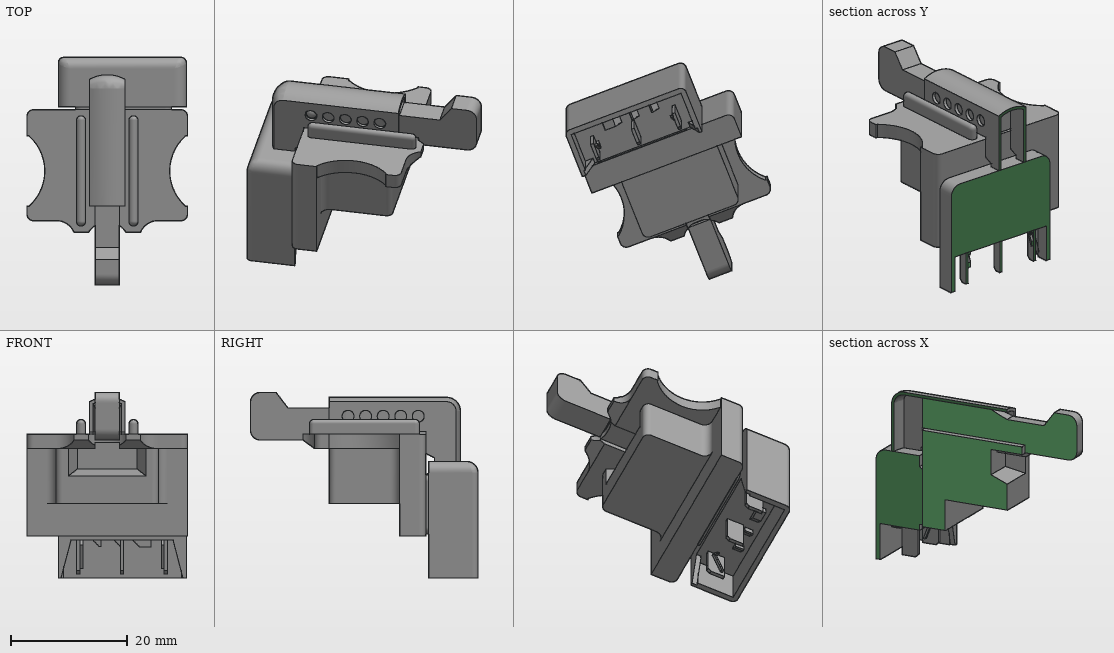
import cadquery as cq
import math


HOUSING_WIDTH = 27.5
HOUSING_HEIGHT = 17.47
BACK_PLATE_DEPTH = 4.5
OUTER_CORNER_RADIUS = 1.15
PLATE_THICKNESS = 2.5
PLATE_DEPTH = 19.05
TAB_DEPTH = 21.02
TAB_OUTER_X = 5.7
TAB_INNER_X = 3.2
NOTCH_FLAT_HALF = 0.43
TAB_ROUND_RADIUS = 3.15
TAB_EDGE_HEIGHT = 1.05
SCALLOP_STEP = 0.3
SCALLOP_SAG = 2.73
BLOCK_WIDTH = 17.55
BLOCK_DEPTH = 16.55
BLOCK_BOTTOM = -11.95
BLOCK_CORNER_RADIUS = 1.1
BLOCK_ROOT_RADIUS = 1.5
POCKET_MOUTH_HALF = 6.63
POCKET_FLOOR_HALF = 5.1
POCKET_MOUTH_BOTTOM = -7.18
POCKET_FLOOR_BOTTOM = -5.95
POCKET_DEPTH = 3.12
CHANNEL_TOP = -1.5
BAR_X = 4.5
BAR_RADIUS = 0.78
BAR_TOP = 2.5
BAR_BACK_Y = -1.05
BAR_FRONT_Y = -19.93

BOX_LEFT = -8.4
BOX_RIGHT = 13.57
BOX_FRONT_Y = 0.45
BOX_BACK_Y = 8.97
BOX_TOP = -4.68
BOX_BOTTOM = -24.65
BOX_TOP_RADIUS = 2.0
BOX_SIDE_RADIUS = 0.98
BOX_WALL = 0.9
BOSS_LEFT = -5.45
BOSS_RIGHT = 11.0
BOSS_TOP = -7.02
BOSS_BOTTOM = -17.12
BOSS_CORNER_RADIUS = 1.1
BOSS_RAMP_HEIGHT = 0.35
BOSS_RAMP_WIDTH = 4.68
WINDOW_TOP = -18.17
WINDOW_TOP_LEFT = -6.2
WINDOW_TOP_RIGHT = 11.27
WINDOW_BOTTOM_LEFT = -7.9
WINDOW_BOTTOM_RIGHT = 12.95
NARROW_LUG_BOTTOM = -19.23
WIDE_LUG_BOTTOM = -19.35
LUG_BACK_Y = 7.02
LUG_DEPTH = 1.55
NARROW_LUG_WIDTH = 1.35
WIDE_LUG_WIDTH = 3.1
NARROW_LUG_XS = (-2.45, 1.17)
WIDE_LUG_X = 4.35

BLADE_MIDDLE_X = 2.55
BLADE_PITCH = 7.5
BLADE_THICKNESS = 0.55
BLADE_FRONT_Y = 1.95
BLADE_DEPTH = 3.12
BLADE_BOTTOM = -23.95
BLADE_TIP = 0.55
CLIP_WIDTH = 0.5
CLIP_KNEE_Z = -19.0
CLIP_BOTTOM = -23
CLIP_FRONT_Y = 2.73
CLIP_KNEE_SETBACK = 0.78
CLIP_TIP_SETBACK = 1.55
CLIP_THICKNESS = 0.4

SLEEVE_HALF_WIDTH = 3.05
SLEEVE_FRONT_Y = -BLOCK_DEPTH
SLEEVE_BOTTOM = 0.35
SLEEVE_SIDE_TOP = 5.55
SLEEVE_SIDE_BACK_Y = 5.2
SLEEVE_CROWN = 0.78
SLEEVE_BEND_RADIUS = 1.65
SLEEVE_WALL = 0.6
LEG_FRONT_Y = 1.5
LEG_STEP_TOP = -3.35
LEG_STEP_BOTTOM = -4.1
HOLE_COUNT = 5
HOLE_PITCH = 3.0
HOLE_FIRST_Y = -1.3
HOLE_Z = 3.05
HOLE_RADIUS = 1.0

SLIDER_HALF_WIDTH = 2.05
SHANK_TOP = 4.5
GRIP_TOP = 7.15
GRIP_FRONT_Y = -30.03
GRIP_CORNER_RADIUS = 1.75
GRIP_SLOPE_BOTTOM_Y = -23.6
GRIP_SLOPE_TOP_Y = -25.62
SHANK_STEP_Y = -19.9
SLIDER_BACK_Y = 0
FLARE_FRONT_Y = SLEEVE_FRONT_Y
FLARE_BACK_Y = -13.6


def box_between(x0, x1, y0, y1, z0, z1):
    size = (x1 - x0, y1 - y0, z1 - z0)
    return cq.Workplane("XY").box(*size, centered=False).translate((x0, y0, z0))


def prism_along_x(points_yz, x_start, length):
    """Straight prism along X with a polygonal YZ section."""
    return cq.Workplane("YZ").workplane(offset=x_start).polyline(points_yz).close().extrude(length)


def prism_along_y(points_xz, y_back, depth):
    """Straight prism running from y_back towards -Y with a polygonal XZ section."""
    return cq.Workplane("XZ").workplane(offset=-y_back).polyline(points_xz).close().extrude(depth)


def make_finger_plate():
    """Top plate with a scalloped finger grip on each side and two front tabs beside the slider notch."""
    half_width = HOUSING_WIDTH / 2
    scallop_x = half_width - SCALLOP_STEP
    scallop_back_y = -BACK_PLATE_DEPTH
    scallop_front_y = -BLOCK_DEPTH
    scallop_middle_y = (scallop_back_y + scallop_front_y) / 2
    round_drop = TAB_DEPTH - PLATE_DEPTH
    tab_round_x = TAB_OUTER_X + math.sqrt(round_drop * (2 * TAB_ROUND_RADIUS - round_drop))
    notch_run = TAB_INNER_X - NOTCH_FLAT_HALF
    notch_drop = TAB_ROUND_RADIUS - math.sqrt(TAB_ROUND_RADIUS ** 2 - notch_run ** 2)
    notch_y = -TAB_DEPTH + notch_drop
    plate = (
        cq.Workplane("XY")
        .moveTo(0, 0)
        .lineTo(half_width, 0)
        .lineTo(half_width, scallop_back_y)
        .lineTo(scallop_x, scallop_back_y)
        .threePointArc((scallop_x - SCALLOP_SAG, scallop_middle_y), (scallop_x, scallop_front_y))
        .lineTo(half_width, scallop_front_y)
        .lineTo(half_width, -PLATE_DEPTH)
        .lineTo(tab_round_x, -PLATE_DEPTH)
        .radiusArc((TAB_OUTER_X, -TAB_DEPTH), -TAB_ROUND_RADIUS)
        .lineTo(TAB_INNER_X, -TAB_DEPTH)
        .radiusArc((NOTCH_FLAT_HALF, notch_y), -TAB_ROUND_RADIUS)
        .lineTo(0, notch_y)
        .mirrorY()
        .extrude(-PLATE_THICKNESS)
    )
    for x in (-half_width, half_width):
        for y in (-PLATE_DEPTH, 0):
            corner = cq.selectors.NearestToPointSelector((x, y, -PLATE_THICKNESS / 2))
            plate = plate.edges(corner).fillet(OUTER_CORNER_RADIUS)
    lead_in = prism_along_x(
        [
            (-TAB_DEPTH, -TAB_EDGE_HEIGHT),
            (-PLATE_DEPTH, -PLATE_THICKNESS),
            (-TAB_DEPTH, -PLATE_THICKNESS),
        ],
        -half_width,
        HOUSING_WIDTH,
    )
    return plate.cut(lead_in)


def make_back_plate():
    half_width = HOUSING_WIDTH / 2
    plate = box_between(-half_width, half_width, -BACK_PLATE_DEPTH, 0, -HOUSING_HEIGHT, 0)
    return plate.edges("|Z and >Y").fillet(OUTER_CORNER_RADIUS)


def make_block():
    """Front block with rounded front corners and concave roots against the back plate."""
    half_width = BLOCK_WIDTH / 2
    block = box_between(-half_width, half_width, -BLOCK_DEPTH, -BACK_PLATE_DEPTH, BLOCK_BOTTOM, 0)
    block = block.edges("|Z and <Y").fillet(BLOCK_CORNER_RADIUS)
    for side in (-1, 1):
        root_x = side * half_width
        root = (
            cq.Workplane("XY")
            .workplane(offset=BLOCK_BOTTOM)
            .moveTo(root_x, -BACK_PLATE_DEPTH)
            .lineTo(root_x + side * BLOCK_ROOT_RADIUS, -BACK_PLATE_DEPTH)
            .radiusArc((root_x, -BACK_PLATE_DEPTH - BLOCK_ROOT_RADIUS), -side * BLOCK_ROOT_RADIUS)
            .close()
            .extrude(-BLOCK_BOTTOM)
        )
        block = block.union(root)
    return block


def make_pocket():
    """Tapered front pocket, with the channel that continues it up into the finger plate."""
    mouth = [
        (-POCKET_MOUTH_HALF, -PLATE_THICKNESS),
        (POCKET_MOUTH_HALF, -PLATE_THICKNESS),
        (POCKET_MOUTH_HALF, POCKET_MOUTH_BOTTOM),
        (-POCKET_MOUTH_HALF, POCKET_MOUTH_BOTTOM),
    ]
    floor = [
        (-POCKET_FLOOR_HALF, -PLATE_THICKNESS),
        (POCKET_FLOOR_HALF, -PLATE_THICKNESS),
        (POCKET_FLOOR_HALF, POCKET_FLOOR_BOTTOM),
        (-POCKET_FLOOR_HALF, POCKET_FLOOR_BOTTOM),
    ]
    floor_y = -BLOCK_DEPTH + POCKET_DEPTH
    taper = (
        cq.Workplane("XZ")
        .workplane(offset=BLOCK_DEPTH)
        .polyline(mouth)
        .close()
        .workplane(offset=-POCKET_DEPTH)
        .polyline(floor)
        .close()
        .loft(ruled=True)
    )
    channel = box_between(
        -SLIDER_HALF_WIDTH, SLIDER_HALF_WIDTH, -TAB_DEPTH, floor_y, -PLATE_THICKNESS, CHANNEL_TOP
    )
    return taper.union(channel)


def make_guide_bar(x):
    """Upright bar on the finger plate with rounded ends and a rounded top."""
    spring_z = BAR_TOP - BAR_RADIUS
    end_ys = (BAR_BACK_Y - BAR_RADIUS, BAR_FRONT_Y + BAR_RADIUS)
    span = end_ys[0] - end_ys[1]
    middle_y = sum(end_ys) / 2
    bar = (
        cq.Workplane("XY")
        .center(x, middle_y)
        .slot2D(span + 2 * BAR_RADIUS, 2 * BAR_RADIUS, 90)
        .extrude(spring_z)
    )
    top = (
        cq.Workplane("XZ")
        .workplane(offset=-end_ys[0])
        .center(x, spring_z)
        .circle(BAR_RADIUS)
        .extrude(span)
    )
    bar = bar.union(top)
    for end_y in end_ys:
        bar = bar.union(cq.Workplane("XY").sphere(BAR_RADIUS).translate((x, end_y, spring_z)))
    return bar


def make_housing():
    body = make_back_plate().union(make_block()).union(make_finger_plate())
    body = body.cut(make_pocket())
    for side in (-1, 1):
        body = body.union(make_guide_bar(side * BAR_X))
    return body


def make_lug(x, width, bottom):
    """Lug hanging from the box ceiling, with a 45 degree slope on its left side."""
    slope_height = WINDOW_TOP - bottom
    outline = [
        (x, WINDOW_TOP),
        (x + width, WINDOW_TOP),
        (x + width, bottom),
        (x + slope_height, bottom),
    ]
    return prism_along_y(outline, LUG_BACK_Y, LUG_DEPTH)


def make_socket_box():
    box = box_between(BOX_LEFT, BOX_RIGHT, BOX_FRONT_Y, BOX_BACK_Y, BOX_BOTTOM, BOX_TOP)
    box = box.edges("|Z and >Y").fillet(BOX_SIDE_RADIUS)
    box = box.faces(">Z").edges("not <Y").fillet(BOX_TOP_RADIUS)

    boss = box_between(BOSS_LEFT, BOSS_RIGHT, 0, BOX_FRONT_Y, BOSS_BOTTOM, BOSS_TOP)
    box = box.union(boss.edges("|Y").fillet(BOSS_CORNER_RADIUS))
    boss_ramp = prism_along_x(
        [(0, BOSS_TOP), (BOX_FRONT_Y, BOSS_TOP), (BOX_FRONT_Y, BOSS_TOP + BOSS_RAMP_HEIGHT)],
        -BOSS_RAMP_WIDTH / 2,
        BOSS_RAMP_WIDTH,
    )
    box = box.union(boss_ramp)

    cavity = box_between(
        BOX_LEFT + BOX_WALL,
        BOX_RIGHT - BOX_WALL,
        BOX_FRONT_Y + BOX_WALL,
        BOX_BACK_Y - BOX_WALL,
        BOX_BOTTOM,
        WINDOW_TOP,
    )
    window = prism_along_y(
        [
            (WINDOW_TOP_LEFT, WINDOW_TOP),
            (WINDOW_TOP_RIGHT, WINDOW_TOP),
            (WINDOW_BOTTOM_RIGHT, BOX_BOTTOM),
            (WINDOW_BOTTOM_LEFT, BOX_BOTTOM),
        ],
        BOX_FRONT_Y + BOX_WALL,
        BOX_WALL,
    )
    box = box.cut(cavity).cut(window)
    for x in NARROW_LUG_XS:
        box = box.union(make_lug(x, NARROW_LUG_WIDTH, NARROW_LUG_BOTTOM))
    return box.union(make_lug(WIDE_LUG_X, WIDE_LUG_WIDTH, WIDE_LUG_BOTTOM))


def make_blade(x):
    """Flat blade with a bevelled tip at its front bottom corner."""
    back_y = BLADE_FRONT_Y + BLADE_DEPTH
    outline = [
        (BLADE_FRONT_Y, WINDOW_TOP),
        (back_y, WINDOW_TOP),
        (back_y, BLADE_BOTTOM),
        (BLADE_FRONT_Y + BLADE_TIP, BLADE_BOTTOM),
        (BLADE_FRONT_Y, BLADE_BOTTOM + BLADE_TIP),
    ]
    return prism_along_x(outline, x - BLADE_THICKNESS / 2, BLADE_THICKNESS)


def make_clip(x_start):
    """Bent spring strip: leans forward to a knee and back again to its tip."""
    top_y = CLIP_FRONT_Y + CLIP_KNEE_SETBACK
    tip_y = CLIP_FRONT_Y + CLIP_TIP_SETBACK
    front = [(top_y, WINDOW_TOP), (CLIP_FRONT_Y, CLIP_KNEE_Z), (tip_y, CLIP_BOTTOM)]
    back = [(y + CLIP_THICKNESS, z) for y, z in reversed(front)]
    return prism_along_x(front + back, x_start, CLIP_WIDTH)


def crown_section(inset):
    """Half width, side top and crown rise of the sleeve section offset inwards by inset."""
    crown_radius = (SLEEVE_HALF_WIDTH ** 2 + SLEEVE_CROWN ** 2) / (2 * SLEEVE_CROWN)
    centre_z = SLEEVE_SIDE_TOP + SLEEVE_CROWN - crown_radius
    radius = crown_radius - inset
    half_width = SLEEVE_HALF_WIDTH - inset
    edge_height = math.sqrt(radius ** 2 - half_width ** 2)
    return half_width, centre_z + edge_height, radius - edge_height


def make_sleeve_form(inset):
    """Crowned bar that runs back over the housing and bends down to the box, shrunk by inset."""
    half_width, side_top, crown_rise = crown_section(inset)
    bend_y = SLEEVE_SIDE_BACK_Y - SLEEVE_BEND_RADIUS
    bend_z = SLEEVE_SIDE_TOP - SLEEVE_BEND_RADIUS
    bend_radius = side_top - bend_z
    side_back = bend_y + bend_radius
    bend_middle = bend_radius * math.sqrt(0.5)

    side = (
        cq.Workplane("YZ")
        .moveTo(SLEEVE_FRONT_Y, SLEEVE_BOTTOM)
        .lineTo(SLEEVE_FRONT_Y, side_top)
        .lineTo(bend_y, side_top)
        .threePointArc((bend_y + bend_middle, bend_z + bend_middle), (side_back, bend_z))
        .lineTo(side_back, BOX_TOP)
        .lineTo(LEG_FRONT_Y, BOX_TOP)
        .lineTo(LEG_FRONT_Y, LEG_STEP_BOTTOM)
        .lineTo(0, LEG_STEP_TOP)
        .lineTo(0, SLEEVE_BOTTOM)
        .close()
        .extrude(half_width, both=True)
    )
    path = (
        cq.Workplane("YZ")
        .moveTo(SLEEVE_FRONT_Y, side_top)
        .lineTo(bend_y, side_top)
        .threePointArc((bend_y + bend_middle, bend_z + bend_middle), (side_back, bend_z))
        .lineTo(side_back, BOX_TOP)
    )
    crown = (
        cq.Workplane("XZ", origin=(0, SLEEVE_FRONT_Y, 0))
        .moveTo(-half_width, side_top)
        .threePointArc((0, side_top + crown_rise), (half_width, side_top))
        .close()
        .sweep(path)
    )
    return side.union(crown)


def make_sleeve():
    sleeve = make_sleeve_form(0).cut(make_sleeve_form(SLEEVE_WALL))
    for index in range(HOLE_COUNT):
        hole = (
            cq.Workplane("YZ")
            .center(HOLE_FIRST_Y - index * HOLE_PITCH, HOLE_Z)
            .circle(HOLE_RADIUS)
            .extrude(SLEEVE_HALF_WIDTH, both=True)
        )
        sleeve = sleeve.cut(hole)
    return sleeve


def make_ball():
    """Detent ball that fills the rearmost left hole flush with the sleeve side."""
    centre = (-SLEEVE_HALF_WIDTH + HOLE_RADIUS, HOLE_FIRST_Y, HOLE_Z)
    return cq.Workplane("XY").sphere(HOLE_RADIUS).translate(centre)


def make_slider_grip():
    """Slim shank with the raised, rounded finger grip at its front end."""
    grip = (
        cq.Workplane("YZ")
        .moveTo(FLARE_BACK_Y, SLEEVE_BOTTOM)
        .lineTo(FLARE_BACK_Y, SHANK_TOP)
        .lineTo(GRIP_SLOPE_BOTTOM_Y, SHANK_TOP)
        .lineTo(GRIP_SLOPE_TOP_Y, GRIP_TOP)
        .lineTo(GRIP_FRONT_Y, GRIP_TOP)
        .lineTo(GRIP_FRONT_Y, -TAB_EDGE_HEIGHT)
        .lineTo(SHANK_STEP_Y, -TAB_EDGE_HEIGHT)
        .lineTo(SHANK_STEP_Y, SLEEVE_BOTTOM)
        .close()
        .extrude(SLIDER_HALF_WIDTH, both=True)
    )
    return grip.edges("|X and <Y").fillet(GRIP_CORNER_RADIUS)


def make_slider_flare():
    """Transition from the slim shank to the full inner section of the sleeve."""
    inner_half, inner_top, inner_rise = crown_section(SLEEVE_WALL)
    return (
        cq.Workplane("XZ")
        .workplane(offset=-FLARE_FRONT_Y)
        .moveTo(-SLIDER_HALF_WIDTH, SLEEVE_BOTTOM)
        .lineTo(SLIDER_HALF_WIDTH, SLEEVE_BOTTOM)
        .lineTo(SLIDER_HALF_WIDTH, SHANK_TOP)
        .lineTo(-SLIDER_HALF_WIDTH, SHANK_TOP)
        .close()
        .workplane(offset=FLARE_FRONT_Y - FLARE_BACK_Y)
        .moveTo(-inner_half, SLEEVE_BOTTOM)
        .lineTo(inner_half, SLEEVE_BOTTOM)
        .lineTo(inner_half, inner_top)
        .threePointArc((0, inner_top + inner_rise), (-inner_half, inner_top))
        .close()
        .loft(ruled=True)
    )


def make_slider():
    reach = box_between(
        -SLEEVE_HALF_WIDTH, SLEEVE_HALF_WIDTH, FLARE_BACK_Y, SLIDER_BACK_Y, SLEEVE_BOTTOM, GRIP_TOP
    )
    head = make_sleeve_form(SLEEVE_WALL).intersect(reach)
    return head.union(make_slider_flare()).union(make_slider_grip()).cut(make_ball())


housing = make_housing()
socket_box = make_socket_box()
sleeve = make_sleeve()
slider = make_slider()
ball = make_ball()

blade_xs = [BLADE_MIDDLE_X + step * BLADE_PITCH for step in (-1, 0, 1)]
blades = [make_blade(x) for x in blade_xs]

clip_starts = [
    blade_xs[0] + BLADE_THICKNESS / 2,
    blade_xs[-1] - BLADE_THICKNESS / 2 - CLIP_WIDTH,
]
clips = [make_clip(x) for x in clip_starts]

bodies = [housing, socket_box, sleeve, slider, ball, *blades, *clips]
result = cq.Compound.makeCompound([body.solids().val() for body in bodies])